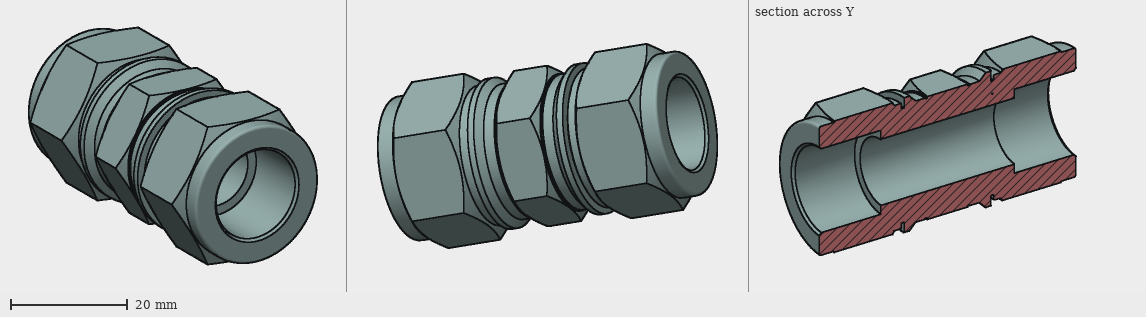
import cadquery as cq
import math

length = 52.85
half_length = length / 2

nut_corners = 29.35
body_flats = 23.8
body_corners = body_flats / math.cos(math.pi / 6)
bevel_angle = math.radians(30)

collar_diameter = 25.0
skirt_diameter = 24.3
neck_diameter = 22.2
flange_diameter = 26.1
shoulder_diameter = 23.5
relief_diameter = 23.2
bore_diameter = 12.7
socket_diameter = 16.1

body_hex_end = 4.2
relief_end = 4.55
shoulder_end = 6.55
flange_start = 7.8
flange_end = 9.0
skirt_start = 9.4
nut_inner_end = 10.95
nut_outer_end = 23.4
skirt_round = 0.35

collar_round = 0.55
socket_depth = 12.7
socket_bevel = 0.5


def revolve_about_x(points):
    """Turn an (axial, radial) outline about the X axis."""
    return cq.Workplane("XY").polyline(points).close().revolve(360, (0, 0, 0), (1, 0, 0))


def beveled_hex(start, end, corners, start_diameter, end_diameter):
    """Hexagonal prism whose corners are turned down to a circle at each end."""
    prism = cq.Workplane("YZ", origin=(start, 0, 0)).polygon(6, corners).extrude(end - start)
    corner_radius = corners / 2
    start_bevel = (corner_radius - start_diameter / 2) * math.tan(bevel_angle)
    end_bevel = (corner_radius - end_diameter / 2) * math.tan(bevel_angle)
    envelope = revolve_about_x([
        (start, 0),
        (start, start_diameter / 2),
        (start + start_bevel, corner_radius),
        (end - end_bevel, corner_radius),
        (end, end_diameter / 2),
        (end, 0),
    ])
    return prism.intersect(envelope)


def turned_half():
    """Stepped round core from the middle to the +X end face."""
    body_and_neck = [
        (0, 0),
        (0, relief_diameter / 2),
        (relief_end, relief_diameter / 2),
        (relief_end, shoulder_diameter / 2),
        (shoulder_end, shoulder_diameter / 2),
        (flange_start, flange_diameter / 2),
        (flange_end, flange_diameter / 2),
        (flange_end, neck_diameter / 2),
        (skirt_start, neck_diameter / 2),
        (skirt_start, skirt_diameter / 2 - skirt_round),
    ]
    round_middle = (
        skirt_start + skirt_round * (1 - math.sqrt(0.5)),
        skirt_diameter / 2 - skirt_round * (1 - math.sqrt(0.5)),
    )
    round_end = (skirt_start + skirt_round, skirt_diameter / 2)
    nut_and_collar = [
        (nut_outer_end, skirt_diameter / 2),
        (nut_outer_end, collar_diameter / 2),
        (half_length, collar_diameter / 2),
        (half_length, 0),
    ]
    outline = (
        cq.Workplane("XY")
        .polyline(body_and_neck)
        .threePointArc(round_middle, round_end)
    )
    for point in nut_and_collar:
        outline = outline.lineTo(*point)
    core = outline.close().revolve(360, (0, 0, 0), (1, 0, 0))
    return core.faces(">X").edges().fillet(collar_round)


def socket():
    """Tube socket with a beveled mouth, cut inward from the +X end face."""
    socket_radius = socket_diameter / 2
    return revolve_about_x([
        (half_length - socket_depth, 0),
        (half_length - socket_depth, socket_radius),
        (half_length - socket_bevel, socket_radius),
        (half_length, socket_radius + socket_bevel),
        (half_length, 0),
    ])


half = turned_half().union(
    beveled_hex(nut_inner_end, nut_outer_end, nut_corners, skirt_diameter, collar_diameter)
)
half = half.cut(socket())

body_hex = beveled_hex(-body_hex_end, body_hex_end, body_corners, body_flats, body_flats)
bore = cq.Workplane("YZ", origin=(-half_length, 0, 0)).circle(bore_diameter / 2).extrude(length)

result = half.union(half.mirror("YZ")).union(body_hex).cut(bore)